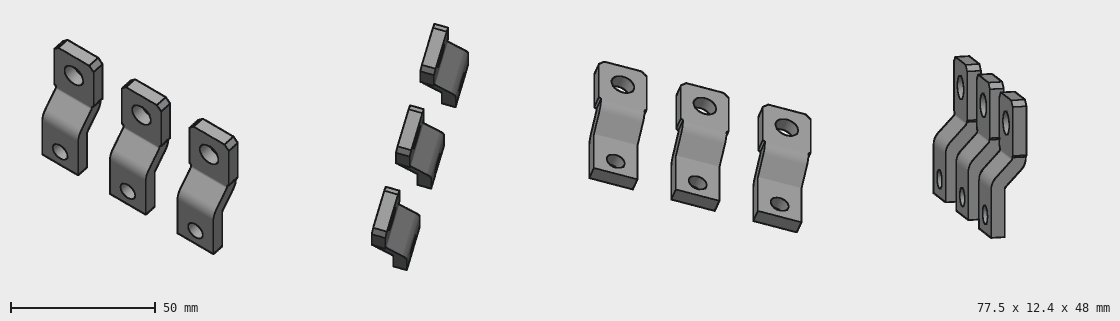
import cadquery as cq
import math

strap_count = 3
strap_pitch = 30.0

overall_length = 77.5
head_width = overall_length - (strap_count - 1) * strap_pitch
tail_width = 16.0
thickness = 4.95
height = 48.0
joggle_offset = 7.5

bend_angle = 44.0
inner_radius = 1.0
outer_radius = inner_radius + thickness
lower_bend_z = 17.05

top_chamfer = 1.9
shoulder_chamfer = (head_width - tail_width) / 2
shoulder_z = 28.0

head_hole_diameter = 8.2
head_hole_z = 38.5
tail_hole_diameter = 6.5
tail_hole_z = 6.5

depth = joggle_offset + thickness
bend_radians = math.radians(bend_angle)
middle_radius = (inner_radius + outer_radius) / 2
slope_length = (
    joggle_offset - 2 * middle_radius * (1 - math.cos(bend_radians))
) / math.sin(bend_radians)
upper_bend_z = (
    lower_bend_z
    + 2 * middle_radius * math.sin(bend_radians)
    + slope_length * math.cos(bend_radians)
)
lower_centre = (outer_radius, lower_bend_z)
upper_centre = (joggle_offset - inner_radius, upper_bend_z)


def lower_bend_point(radius, angle):
    """Point on the lower bend, at an angle turned from the tail."""
    y, z = lower_centre
    return (y - radius * math.cos(angle), z + radius * math.sin(angle))


def upper_bend_point(radius, angle):
    """Point on the upper bend, at an angle turned from the head."""
    y, z = upper_centre
    return (y + radius * math.cos(angle), z - radius * math.sin(angle))


def make_bent_plate():
    """Z-shaped side profile extruded to the full head width."""
    half_angle = bend_radians / 2
    return (
        cq.Workplane("YZ")
        .moveTo(0, 0)
        .lineTo(*lower_bend_point(outer_radius, 0))
        .threePointArc(
            lower_bend_point(outer_radius, half_angle),
            lower_bend_point(outer_radius, bend_radians),
        )
        .lineTo(*upper_bend_point(inner_radius, bend_radians))
        .threePointArc(
            upper_bend_point(inner_radius, half_angle),
            upper_bend_point(inner_radius, 0),
        )
        .lineTo(joggle_offset, height)
        .lineTo(depth, height)
        .lineTo(*upper_bend_point(outer_radius, 0))
        .threePointArc(
            upper_bend_point(outer_radius, half_angle),
            upper_bend_point(outer_radius, bend_radians),
        )
        .lineTo(*lower_bend_point(inner_radius, bend_radians))
        .threePointArc(
            lower_bend_point(inner_radius, half_angle),
            lower_bend_point(inner_radius, 0),
        )
        .lineTo(thickness, 0)
        .close()
        .extrude(head_width / 2, both=True)
    )


def make_face_outline():
    """Front outline of the strap, extruded through the full depth."""
    half_head = head_width / 2
    half_tail = tail_width / 2
    right_side = [
        (half_tail, 0),
        (half_tail, shoulder_z),
        (half_head, shoulder_z + shoulder_chamfer),
        (half_head, height - top_chamfer),
        (half_head - top_chamfer, height),
    ]
    left_side = [(-x, z) for x, z in reversed(right_side)]
    return cq.Workplane("XZ").polyline(right_side + left_side).close().extrude(-depth)


def make_hole(diameter, z):
    """Cutter along Y for a hole through the plate."""
    return cq.Workplane("XZ").center(0, z).circle(diameter / 2).extrude(-depth)


def make_strap(x):
    """One finished strap centred at the given X."""
    strap = (
        make_bent_plate()
        .intersect(make_face_outline())
        .cut(make_hole(head_hole_diameter, head_hole_z))
        .cut(make_hole(tail_hole_diameter, tail_hole_z))
    )
    return strap.translate((x, 0, 0))


straps = []
for index in range(strap_count):
    strap_x = (index - (strap_count - 1) / 2) * strap_pitch
    straps.append(make_strap(strap_x).solids().val())

result = cq.Compound.makeCompound(straps)